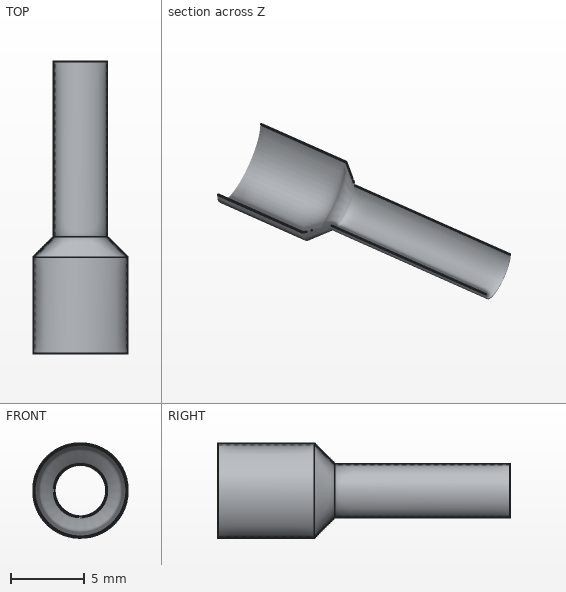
import cadquery as cq

total_length = 20.0
tube_length = 12.0
tube_diameter = 3.7
sleeve_diameter = 6.5
tube_wall = 0.1
sleeve_wall = 0.12

tube_radius = tube_diameter / 2
sleeve_radius = sleeve_diameter / 2
tube_bore_radius = tube_radius - tube_wall
sleeve_bore_radius = sleeve_radius - sleeve_wall

cone_length = sleeve_radius - tube_radius
sleeve_length = total_length - tube_length - cone_length
tube_start = sleeve_length + cone_length

wall_section = (
    cq.Workplane("XY")
    .moveTo(sleeve_radius, 0)
    .lineTo(sleeve_radius, sleeve_length)
    .lineTo(tube_radius, tube_start)
    .lineTo(tube_radius, total_length)
    .lineTo(tube_bore_radius, total_length)
    .lineTo(tube_bore_radius, tube_start)
    .lineTo(sleeve_bore_radius, sleeve_length)
    .lineTo(sleeve_bore_radius, 0)
    .close()
)

result = wall_section.revolve(360, (0, 0, 0), (0, 1, 0))